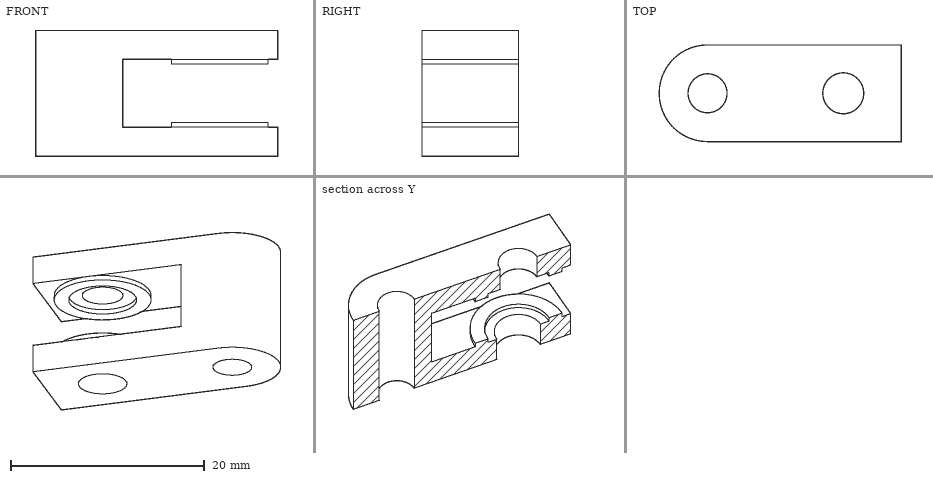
import cadquery as cq

length = 25
width = 10
height = 13
end_radius = width / 2

arm_thickness = 3
slot_start = 9
slot_height = height - 2 * arm_thickness

pivot_diameter = 4

pin_x = 19
upper_pin_diameter = 4.2
lower_pin_diameter = 5
ring_outer_diameter = width
ring_inner_diameter = 7
ring_height = 0.5


def cylinder(x, diameter, bottom, depth):
    """Vertical cylinder on the part's centre line."""
    return cq.Workplane("XY", origin=(x, 0, bottom)).circle(diameter / 2).extrude(depth)


def ring(bottom):
    """Flat raised ring around the pin axis."""
    outer = cylinder(pin_x, ring_outer_diameter, bottom, ring_height)
    return outer.cut(cylinder(pin_x, ring_inner_diameter, bottom, ring_height))


body = (
    cq.Workplane("XY")
    .moveTo(end_radius, -end_radius)
    .lineTo(length, -end_radius)
    .lineTo(length, end_radius)
    .lineTo(end_radius, end_radius)
    .threePointArc((0, 0), (end_radius, -end_radius))
    .close()
    .extrude(height)
)

slot = cq.Workplane("XY", origin=(slot_start, 0, arm_thickness)).box(
    length - slot_start, width, slot_height, centered=(False, True, False)
)
body = body.cut(slot)

slot_top = arm_thickness + slot_height
for ring_bottom in (arm_thickness, slot_top - ring_height):
    body = body.union(ring(ring_bottom))

body = body.cut(cylinder(end_radius, pivot_diameter, 0, height))
body = body.cut(cylinder(pin_x, lower_pin_diameter, 0, arm_thickness))
body = body.cut(cylinder(pin_x, upper_pin_diameter, slot_top, arm_thickness))

result = body